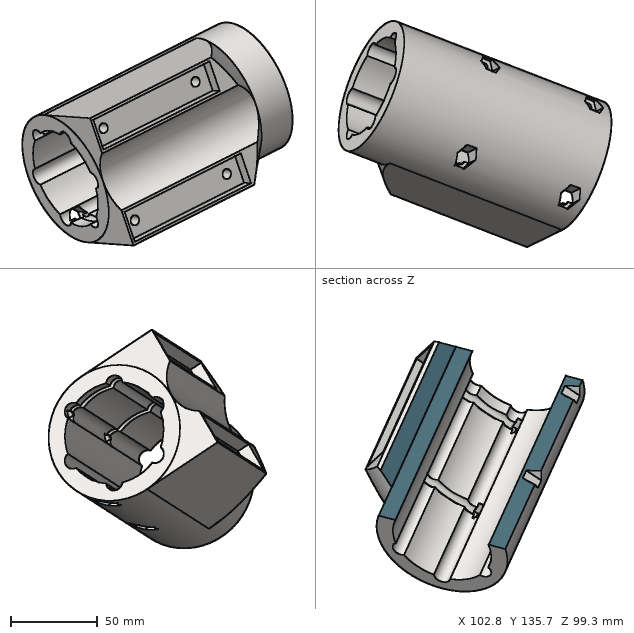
import cadquery as cq
import math

length = 135.7
outer_diameter = 80.0
outer_radius = outer_diameter / 2
bore_radius = 30.0
flute_count = 6
flute_radius = 5.0
flute_circle_radius = 28.9
first_flute_angle = 30.0

saddle_angle = 30.0
saddle_length = 112.8
pad_distance = 49.4
groove_radius = 21.7
groove_web = 0.1
groove_center = outer_radius + groove_web + groove_radius

pad_inner = math.sqrt(groove_radius**2 - (groove_center - pad_distance)**2)
pad_middle = (pad_inner + outer_radius) / 2
pocket_width = 18.7
pocket_depth = 7.5
pocket_length = 85.8
pocket_front = 1.6
pocket_floor = pad_distance - pocket_depth

bolt_diameter = 5.8
nut_corner_diameter = 12.0
nut_seat = -17.6
bolt_spacing = 67.9
bolt_center = pocket_front + pocket_length / 2
bolt_stations = [bolt_center - bolt_spacing / 2, bolt_center + bolt_spacing / 2]


def front_plane():
    """Sketch plane on the front face, drawn as X and Z."""
    return cq.Workplane("XZ")


def extrude_back(sketch, depth):
    """Extrude a front-face sketch toward +Y."""
    return sketch.extrude(-depth)


def turn_to_saddle(body):
    """Turn a body built facing +X so that it faces the saddle direction."""
    return body.rotate((0, 0, 0), (0, 1, 0), -saddle_angle)


def make_bore():
    bore = extrude_back(front_plane().circle(bore_radius), length)
    flutes = front_plane().polarArray(flute_circle_radius, first_flute_angle, 360, flute_count)
    return bore.union(extrude_back(flutes.circle(flute_radius), length))


def make_bolt_cutters():
    """Bolt holes and nut recesses, turned to run along the saddle direction."""
    points = [(y, side * pad_middle) for y in bolt_stations for side in (1, -1)]
    seat_plane = cq.Workplane("YZ", origin=(nut_seat, 0, 0))
    holes = seat_plane.pushPoints(points).circle(bolt_diameter / 2).extrude(pocket_floor - nut_seat)
    recesses = seat_plane.pushPoints(points).polygon(6, nut_corner_diameter).extrude(-outer_radius)
    return turn_to_saddle(holes.union(recesses))


def make_tube():
    tube = extrude_back(front_plane().circle(outer_radius), length)
    return tube.cut(make_bore()).cut(make_bolt_cutters())


def make_nose_envelope():
    """Cylinder through the pad corners, tapering at 45 degrees to the tube at the rear."""
    corner_radius = math.hypot(pad_distance, outer_radius)
    taper_start = saddle_length - (corner_radius - outer_radius)
    profile = [
        (0, 0),
        (corner_radius, 0),
        (corner_radius, taper_start),
        (outer_radius, saddle_length),
        (0, saddle_length),
    ]
    return cq.Workplane("XY").polyline(profile).close().revolve(360, (0, 0), (0, 1))


def make_saddle():
    block_sketch = front_plane().center(pad_distance / 2, 0).rect(pad_distance, 2 * outer_radius)
    block = extrude_back(block_sketch, saddle_length)
    block = block.intersect(make_nose_envelope())
    block = block.cut(extrude_back(front_plane().circle(outer_radius), length))
    block = block.cut(extrude_back(front_plane().center(groove_center, 0).circle(groove_radius), length))
    pockets = (
        cq.Workplane("YZ", origin=(pad_distance, 0, 0))
        .pushPoints([(bolt_center, pad_middle), (bolt_center, -pad_middle)])
        .rect(pocket_length, pocket_width)
        .extrude(-pocket_depth)
    )
    return turn_to_saddle(block.cut(pockets)).cut(make_bolt_cutters())


tube = make_tube()
saddle = make_saddle()

result = cq.Compound.makeCompound([tube.solids().val(), saddle.solids().val()])